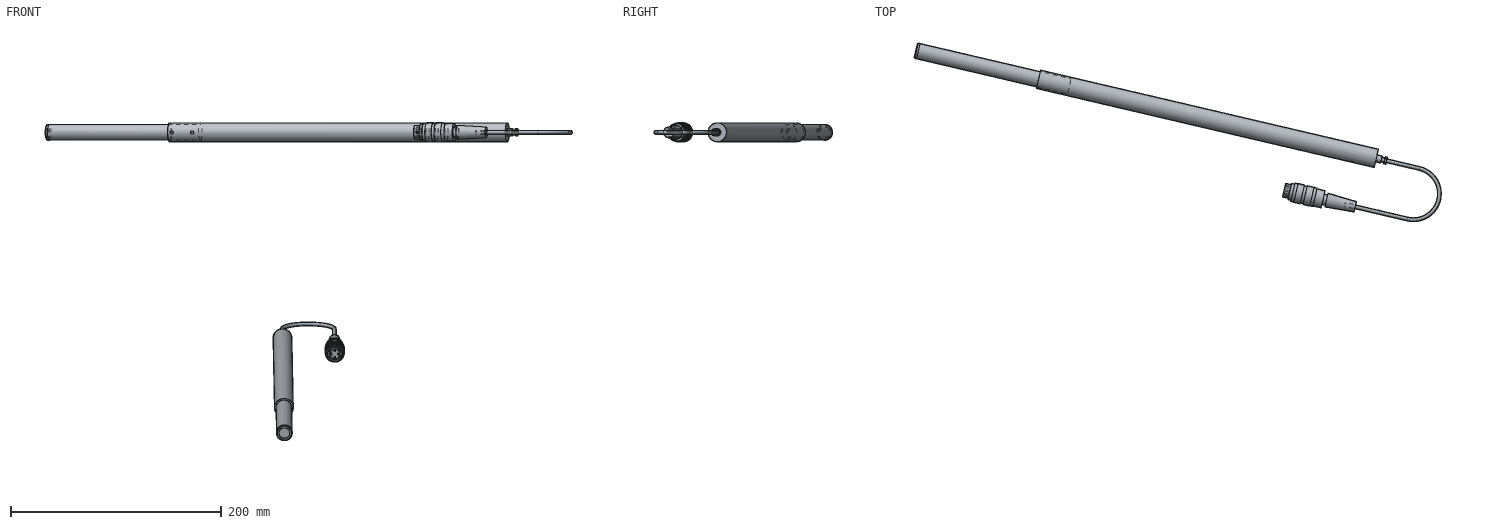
import cadquery as cq

tilt = 13.17
bend_radius = 24.73
plug_offset = 2 * bend_radius

cap_length = 2.5
handle_start = 120.0
handle_end = 450.0
neck_start = 455.0
neck_end = 458.0
gland_end = 460.0
bend_start = 492.02

cap_dia = 15.1
tube_dia = 15.0
cap_face_dia = 13.5
cap_chamfer = (cap_dia - cap_face_dia) / 2
window_dia = 10.2
window_depth = 0.5
tube_insertion = 30.0

handle_dia = 18.0
gland_dia = 7.0
neck_dia = 4.7
screw_hole_dia = 3.0
screw_hole_depth = 1.0
screw_hole_stations = (124.0, 144.0, 428.0)

cable_dia = 3.7
cable_insertion = 10.0

plug_start = 371.4
step_start = 377.0
first_ring_start = 380.0
first_ring_end = 389.2
second_ring_start = 392.0
second_ring_end = 401.6
ring_shoulder = 3.0
barrel_end = 409.6
sleeve_start = 412.8
plug_end = 441.0

nose_dia = 13.5
step_dia = 16.0
ring_dia = 18.5
ring_shoulder_dia = 18.15
barrel_dia = 16.9
sleeve_gap_dia = 10.2
sleeve_start_dia = 13.5
sleeve_end_dia = 10.2

key_hole_dia = 2.25
key_hole_station = 375.2
key_hole_overcut = 0.5

socket_dia = 10.2
socket_depth = 5.0
pin_dia = 1.49
pin_circle_dia = 7.0
pin_count = 4
pin_recess = 1.0


def turned(stations):
    """Solid of revolution about the X axis from (station, diameter) pairs."""
    first = stations[0][0]
    last = stations[-1][0]
    outline = [(first, 0)] + [(x, dia / 2) for x, dia in stations] + [(last, 0)]
    return cq.Workplane("XY").polyline(outline).close().revolve(360, (0, 0, 0), (1, 0, 0))


def rod(start, end, dia):
    """Plain cylinder along the X axis."""
    return turned([(start, dia), (end, dia)])


def side_drill(station, dia, bottom_radius):
    """Cutter for a radial hole on the -Y side, reaching inward to bottom_radius."""
    return cq.Workplane("XZ", origin=(station, -bottom_radius, 0)).circle(dia / 2).extrude(handle_dia)


def make_cap():
    cap = turned([(0, cap_face_dia), (cap_chamfer, cap_dia), (cap_length, cap_dia)])
    return cap.cut(rod(0, window_depth, window_dia))


def make_tube():
    return rod(cap_length, handle_start + tube_insertion, tube_dia)


def make_handle(tube, cable):
    handle = turned([
        (handle_start, handle_dia),
        (handle_end, handle_dia),
        (handle_end, gland_dia),
        (neck_start, gland_dia),
        (neck_start, neck_dia),
        (neck_end, neck_dia),
        (neck_end, gland_dia),
        (gland_end, gland_dia),
    ])
    for station in screw_hole_stations:
        handle = handle.cut(side_drill(station, screw_hole_dia, handle_dia / 2 - screw_hole_depth))
    return handle.cut(tube).cut(cable)


def make_cable():
    """Straight lead from the gland, half-turn bend, straight lead back into the plug."""
    path = (
        cq.Workplane("XY")
        .moveTo(gland_end - cable_insertion, 0)
        .lineTo(bend_start, 0)
        .threePointArc((bend_start + bend_radius, -bend_radius), (bend_start, -plug_offset))
        .lineTo(plug_end - cable_insertion, -plug_offset)
    )
    return (
        cq.Workplane("YZ", origin=(gland_end - cable_insertion, 0, 0))
        .circle(cable_dia / 2)
        .sweep(path)
    )


def make_plug(cable):
    plug = turned([
        (plug_start, nose_dia),
        (step_start, nose_dia),
        (step_start, step_dia),
        (first_ring_start, step_dia),
        (first_ring_start, ring_shoulder_dia),
        (first_ring_start + ring_shoulder, ring_shoulder_dia),
        (first_ring_start + ring_shoulder, ring_dia),
        (first_ring_end, ring_dia),
        (first_ring_end, barrel_dia),
        (second_ring_start, barrel_dia),
        (second_ring_start, ring_dia),
        (second_ring_end - ring_shoulder, ring_dia),
        (second_ring_end - ring_shoulder, ring_shoulder_dia),
        (second_ring_end, ring_shoulder_dia),
        (second_ring_end, barrel_dia),
        (barrel_end, barrel_dia),
        (barrel_end, sleeve_gap_dia),
        (sleeve_start, sleeve_gap_dia),
        (sleeve_start, sleeve_start_dia),
        (plug_end, sleeve_end_dia),
    ])
    plug = plug.cut(rod(plug_start, plug_start + socket_depth, socket_dia))
    plug = plug.cut(side_drill(key_hole_station, key_hole_dia, socket_dia / 2 - key_hole_overcut))
    pins = (
        cq.Workplane("YZ", origin=(plug_start + pin_recess, 0, 0))
        .polarArray(pin_circle_dia / 2, 0, 360, pin_count)
        .circle(pin_dia / 2)
        .extrude(socket_depth - pin_recess)
    )
    return plug.union(pins).translate((0, -plug_offset, 0)).cut(cable)


cap = make_cap()
tube = make_tube()
cable = make_cable()
handle = make_handle(tube, cable)
plug = make_plug(cable)

bodies = [body.rotate((0, 0, 0), (0, 0, 1), -tilt) for body in (cap, tube, handle, cable, plug)]
result = cq.Compound.makeCompound([body.val() for body in bodies])